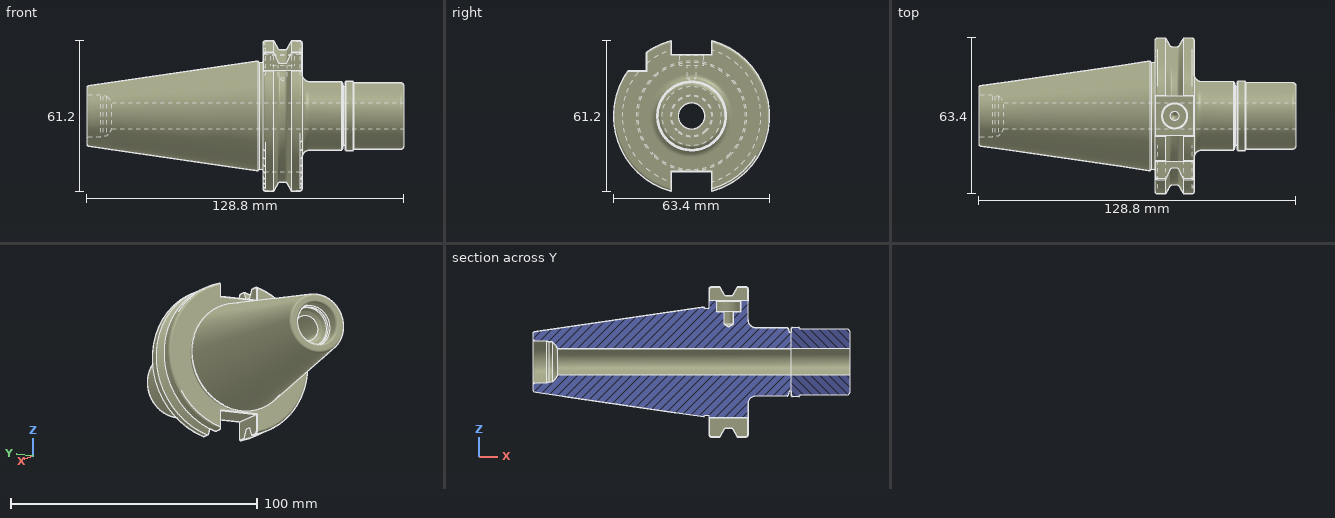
import cadquery as cq
import math

TOTAL_LENGTH = 128.8
TAPER_LENGTH = 69.4
FLANGE_START = 71.5
FLANGE_END = 87.5
FLANGE_CENTRE = (FLANGE_START + FLANGE_END) / 2

TAPER_RATIO = 7 / 24
SMALL_END_RADIUS = 12.2
LARGE_END_RADIUS = SMALL_END_RADIUS + TAPER_LENGTH * TAPER_RATIO / 2
SMALL_END_FILLET = 1.0

RELIEF_RADIUS = 21.8
RELIEF_START = TAPER_LENGTH + LARGE_END_RADIUS - RELIEF_RADIUS
RELIEF_FILLET = 0.4

FLANGE_RADIUS = 31.7
FLANGE_FILLET = 1.0
V_GROOVE_FLOOR_RADIUS = 28.1
V_GROOVE_FLOOR_HALF_WIDTH = 1.5
V_GROOVE_WALL_ANGLE = 30
V_GROOVE_FILLET = 0.9
V_GROOVE_OVERCUT = 1.3
DRIVE_SLOT_WIDTH = 16.1
TOP_SLOT_FLOOR = 25.0
BOTTOM_SLOT_FLOOR = 22.7
NOTCH_OFFSET = 18.4
POCKET_CHAMFER = 0.32
SELECTION_MARGIN = 0.06

COLLAR_START = 104.8
RIM_RADIUS = 14.2
RIM_END = 108.5
RIM_FRONT_CHAMFER = 0.4
RIM_BACK_CHAMFER = 0.5
COLLAR_RADIUS = RIM_RADIUS - 0.58
COLLAR_END_FILLET = 1.5

NECK_RADIUS = RIM_RADIUS - 0.19
NECK_FILLET = 3.0
NECK_END = 103.8
NECK_END_CHAMFER = 0.5
SPIGOT_RADIUS = 12.0
SPIGOT_START = 104.2

DRILL_TIP_ANGLE = 30

THROUGH_RADIUS = 5.3
MOUTH_RADIUS = 8.5
MOUTH_FILLET = 1.0
MOUTH_DEPTH = 5.5
STEP_RADIUS = 8.1
STEP_CHAMFER_LENGTH = 1.0
STEP_DEPTH = 8.0
DRILL_RADIUS = 7.0

SEAT_RADIUS = 4.9
SEAT_CHAMFER = 0.4
SEAT_DEPTH = 4.5
SEAT_HOLE_RADIUS = 1.8
SEAT_HOLE_DEPTH = 5.2


def revolve_about_x(profile):
    """Turn a closed (x, radius) profile once round the X axis."""
    return profile.close().revolve(360, (0, 0, 0), (1, 0, 0))


def make_shank():
    """Taper, relief, plain flange, neck and spigot as one turned blank."""
    profile = (
        cq.Workplane("XZ")
        .moveTo(0, 0)
        .lineTo(0, SMALL_END_RADIUS)
        .lineTo(TAPER_LENGTH, LARGE_END_RADIUS)
        .lineTo(RELIEF_START, RELIEF_RADIUS)
        .lineTo(FLANGE_START - RELIEF_FILLET, RELIEF_RADIUS)
        .radiusArc((FLANGE_START, RELIEF_RADIUS + RELIEF_FILLET), -RELIEF_FILLET)
        .lineTo(FLANGE_START, FLANGE_RADIUS)
        .lineTo(FLANGE_END, FLANGE_RADIUS)
        .lineTo(FLANGE_END, NECK_RADIUS + NECK_FILLET)
        .radiusArc((FLANGE_END + NECK_FILLET, NECK_RADIUS), -NECK_FILLET)
        .lineTo(NECK_END - NECK_END_CHAMFER, NECK_RADIUS)
        .lineTo(NECK_END, NECK_RADIUS - NECK_END_CHAMFER)
        .lineTo(SPIGOT_START, SPIGOT_RADIUS)
        .lineTo(COLLAR_START, SPIGOT_RADIUS)
        .lineTo(COLLAR_START, 0)
    )
    shank = revolve_about_x(profile)
    flange_rims = cq.selectors.RadiusNthSelector(-1)
    shank = shank.edges(flange_rims).fillet(FLANGE_FILLET)
    return shank.faces("<X").edges().fillet(SMALL_END_FILLET)


def make_v_groove():
    """Ring that cuts the gripper groove, with rounded floor corners."""
    mouth_radius = FLANGE_RADIUS + V_GROOVE_OVERCUT
    wall_run = (mouth_radius - V_GROOVE_FLOOR_RADIUS) * math.tan(math.radians(V_GROOVE_WALL_ANGLE))
    mouth_half_width = V_GROOVE_FLOOR_HALF_WIDTH + wall_run
    profile = (
        cq.Workplane("XZ")
        .moveTo(FLANGE_CENTRE - mouth_half_width, mouth_radius)
        .lineTo(FLANGE_CENTRE - V_GROOVE_FLOOR_HALF_WIDTH, V_GROOVE_FLOOR_RADIUS)
        .lineTo(FLANGE_CENTRE + V_GROOVE_FLOOR_HALF_WIDTH, V_GROOVE_FLOOR_RADIUS)
        .lineTo(FLANGE_CENTRE + mouth_half_width, mouth_radius)
    )
    ring = revolve_about_x(profile)
    return ring.edges(cq.selectors.RadiusNthSelector(0)).fillet(V_GROOVE_FILLET)


def mill_pocket(body, y_range, z_range, inner_corners):
    """Mill a pocket along the whole flange and chamfer its edges, except along the (y, z) inner corners."""
    start = cq.Vector(FLANGE_START, y_range[0], z_range[0])
    end = cq.Vector(FLANGE_END, y_range[1], z_range[1])
    size = end - start
    pocket = cq.Workplane("XY", origin=start).box(size.x, size.y, size.z, centered=False)
    corner_middles = [cq.Vector(FLANGE_CENTRE, y, z) for y, z in inner_corners]
    margin = cq.Vector(SELECTION_MARGIN, SELECTION_MARGIN, SELECTION_MARGIN)
    around_pocket = cq.selectors.BoxSelector(start - margin, end + margin, boundingbox=True)

    def is_outer(edge):
        return all((edge.Center() - middle).Length > SELECTION_MARGIN for middle in corner_middles)

    return body.cut(pocket).edges(around_pocket).filter(is_outer).chamfer(POCKET_CHAMFER)


def cut_flange(body):
    """Two drive slots, the corner notch and then the gripper groove."""
    half_slot = DRIVE_SLOT_WIDTH / 2
    slot_sides = (-half_slot, half_slot)
    body = mill_pocket(
        body, slot_sides, (TOP_SLOT_FLOOR, FLANGE_RADIUS), [(y, TOP_SLOT_FLOOR) for y in slot_sides]
    )
    body = mill_pocket(
        body, slot_sides, (-FLANGE_RADIUS, -BOTTOM_SLOT_FLOOR), [(y, -BOTTOM_SLOT_FLOOR) for y in slot_sides]
    )
    body = mill_pocket(
        body,
        (-FLANGE_RADIUS, -NOTCH_OFFSET),
        (NOTCH_OFFSET, FLANGE_RADIUS),
        [(-NOTCH_OFFSET, NOTCH_OFFSET)],
    )
    return body.cut(make_v_groove())


def make_bore():
    """Stepped axial bore: rounded mouth, step, 45 degree cone, blunt drill cone and through hole."""
    drill_cone_start = STEP_DEPTH + STEP_RADIUS - DRILL_RADIUS
    drill_cone_length = (DRILL_RADIUS - THROUGH_RADIUS) * math.tan(math.radians(DRILL_TIP_ANGLE))
    profile = (
        cq.Workplane("XZ")
        .moveTo(0, 0)
        .lineTo(0, MOUTH_RADIUS + MOUTH_FILLET)
        .radiusArc((MOUTH_FILLET, MOUTH_RADIUS), -MOUTH_FILLET)
        .lineTo(MOUTH_DEPTH, MOUTH_RADIUS)
        .lineTo(MOUTH_DEPTH + STEP_CHAMFER_LENGTH, STEP_RADIUS)
        .lineTo(STEP_DEPTH, STEP_RADIUS)
        .lineTo(drill_cone_start, DRILL_RADIUS)
        .lineTo(drill_cone_start + drill_cone_length, THROUGH_RADIUS)
        .lineTo(COLLAR_START, THROUGH_RADIUS)
        .lineTo(COLLAR_START, 0)
    )
    return revolve_about_x(profile)


def make_screw_seat():
    """Flat seat with a chamfered rim and a small blind drilled hole, turned about a vertical axis."""
    seat_floor = TOP_SLOT_FLOOR - SEAT_DEPTH
    hole_end = seat_floor - SEAT_HOLE_DEPTH
    hole_tip = hole_end - SEAT_HOLE_RADIUS * math.tan(math.radians(DRILL_TIP_ANGLE))
    profile = (
        cq.Workplane("XZ", origin=(FLANGE_CENTRE, 0, 0))
        .moveTo(0, TOP_SLOT_FLOOR)
        .lineTo(SEAT_RADIUS + SEAT_CHAMFER, TOP_SLOT_FLOOR)
        .lineTo(SEAT_RADIUS, TOP_SLOT_FLOOR - SEAT_CHAMFER)
        .lineTo(SEAT_RADIUS, seat_floor)
        .lineTo(SEAT_HOLE_RADIUS, seat_floor)
        .lineTo(SEAT_HOLE_RADIUS, hole_end)
        .lineTo(0, hole_tip)
    )
    return profile.close().revolve(360, (0, 0, 0), (0, 1, 0))


def make_holder():
    holder = cut_flange(make_shank())
    return holder.cut(make_bore()).cut(make_screw_seat())


def make_collar():
    """Sleeve with a raised rim, butting against the spigot face."""
    profile = (
        cq.Workplane("XY")
        .moveTo(COLLAR_START, THROUGH_RADIUS)
        .lineTo(COLLAR_START, RIM_RADIUS - RIM_FRONT_CHAMFER)
        .lineTo(COLLAR_START + RIM_FRONT_CHAMFER, RIM_RADIUS)
        .lineTo(RIM_END - RIM_BACK_CHAMFER, RIM_RADIUS)
        .lineTo(RIM_END, COLLAR_RADIUS)
        .lineTo(TOTAL_LENGTH - COLLAR_END_FILLET, COLLAR_RADIUS)
        .radiusArc((TOTAL_LENGTH, COLLAR_RADIUS - COLLAR_END_FILLET), COLLAR_END_FILLET)
        .lineTo(TOTAL_LENGTH, THROUGH_RADIUS)
    )
    return revolve_about_x(profile)


holder = make_holder()
collar = make_collar()

result = cq.Compound.makeCompound([holder.val(), collar.val()])